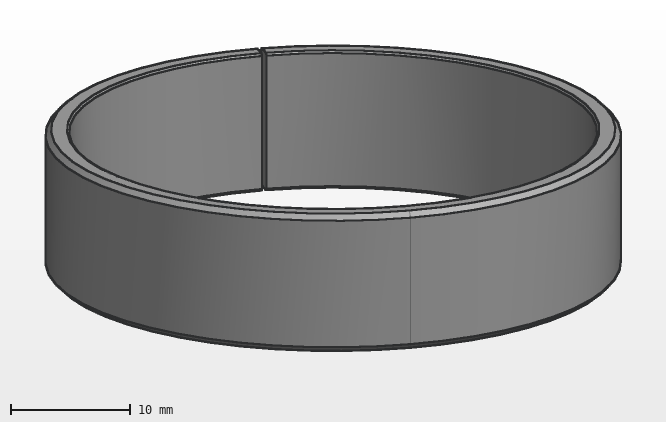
import cadquery as cq

outer_diameter = 48.0
inner_diameter = 44.0
height = 12.0
outer_chamfer = 0.5
inner_chamfer = 0.2
slit_width = 0.4

outer_radius = outer_diameter / 2
inner_radius = inner_diameter / 2


def ring():
    """Revolve the wall section, with all four corners chamfered."""
    section = (
        cq.Workplane("XZ")
        .moveTo(inner_radius + inner_chamfer, 0)
        .lineTo(outer_radius - outer_chamfer, 0)
        .lineTo(outer_radius, outer_chamfer)
        .lineTo(outer_radius, height - outer_chamfer)
        .lineTo(outer_radius - outer_chamfer, height)
        .lineTo(inner_radius + inner_chamfer, height)
        .lineTo(inner_radius, height - inner_chamfer)
        .lineTo(inner_radius, inner_chamfer)
        .close()
    )
    return section.revolve(360, (0, 0, 0), (0, 1, 0))


def slit():
    """Block that cuts through the wall on the -X side, with one face on the XZ plane."""
    return cq.Workplane("XY").box(
        outer_diameter, slit_width, height, centered=False
    ).translate((-outer_diameter, 0, 0))


result = ring().cut(slit())